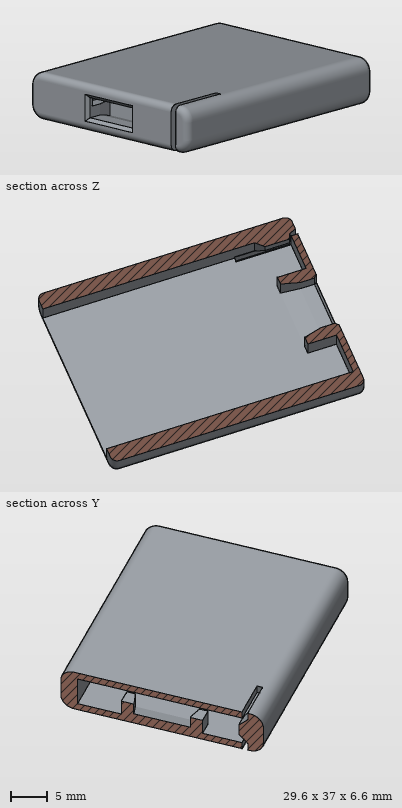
import cadquery as cq

width = 29.6
length = 37.0
height = 6.6
side_radius = 2.0
end_radius = 1.0

side_wall = 2.5
plate = 1.15
front_wall = 1.0

port_width = 7.88
port_height = 2.85
port_chamfer = 0.48

cradle_width = 11.85
cradle_top = 0.15
channel_end = 2.5
cradle_end = 5.18

slot_width = 0.8
slot_length = 9.0
tab_width = 2.33

barb_reach = 1.1
barb_flat_start = 1.4
barb_flat_end = 4.95
lead_reach = 0.45

front = -length / 2
cavity_x = width / 2 - side_wall
cavity_height = height - 2 * plate
slot_edge = width / 2 - tab_width
overlap = 0.37


def box_between(x_range, y_range, z_range):
    (x0, x1), (y0, y1), (z0, z1) = x_range, y_range, z_range
    return cq.Workplane("XY").box(x1 - x0, y1 - y0, z1 - z0, centered=False).translate((x0, y0, z0))


def rectangle_at(depth, grow):
    """Port rectangle at a depth behind the front face, grown on every side."""
    plane = cq.Plane(origin=(0, front + depth, 0), xDir=(1, 0, 0), normal=(0, -1, 0))
    return cq.Workplane(plane).rect(port_width + 2 * grow, port_height + 2 * grow)


def tapered_opening(start, end, start_grow, end_grow):
    """Frustum between two port-centred rectangles."""
    sketch = rectangle_at(start, start_grow).workplane(offset=start - end)
    return sketch.rect(port_width + 2 * end_grow, port_height + 2 * end_grow).loft(ruled=True)


def make_shell():
    body = cq.Workplane("XY").box(width, length, height)
    body = body.edges("|Y").fillet(side_radius)
    body = body.faces("<Y or >Y").edges().fillet(end_radius)
    cavity = box_between(
        (-cavity_x, cavity_x),
        (front + front_wall, length / 2 + overlap),
        (-cavity_height / 2, cavity_height / 2),
    )
    return body.cut(cavity)


def make_cradle():
    return box_between(
        (-cradle_width / 2, cradle_width / 2),
        (front + front_wall - overlap, front + cradle_end),
        (-cavity_height / 2 - overlap, cradle_top),
    )


def make_port():
    flare = (cavity_height - port_height) / 2
    mouth = tapered_opening(0, port_chamfer, port_chamfer, 0)
    channel = tapered_opening(port_chamfer, channel_end, 0, 0)
    return mouth.union(channel).union(tapered_opening(channel_end, cradle_end, 0, flare))


def make_slot():
    return box_between(
        (slot_edge - slot_width, slot_edge),
        (front - overlap, front + slot_length),
        (-height, height),
    )


def make_barb():
    """Barb with a two-slope lead-in, a 45 degree rear ramp and 45 degree bevels above and below."""
    tip = cavity_x - barb_reach
    root = slot_edge + overlap
    plan = [
        (root, front),
        (slot_edge, front),
        (slot_edge - lead_reach, front + front_wall),
        (tip, front + barb_flat_start),
        (tip, front + barb_flat_end),
        (cavity_x, front + barb_flat_end + barb_reach),
        (cavity_x, front + slot_length),
        (root, front + slot_length),
    ]
    half_root = cavity_height / 2
    half_tip = half_root - (slot_edge - tip)
    section = [
        (root, -half_root),
        (slot_edge, -half_root),
        (tip, -half_tip),
        (tip, half_tip),
        (slot_edge, half_root),
        (root, half_root),
    ]
    outline = cq.Workplane("XY").polyline(plan).close().extrude(height / 2, both=True)
    bevels = cq.Workplane("XZ").polyline(section).close().extrude(length, both=True)
    return outline.intersect(bevels)


result = make_shell().union(make_cradle()).cut(make_port()).cut(make_slot()).union(make_barb())